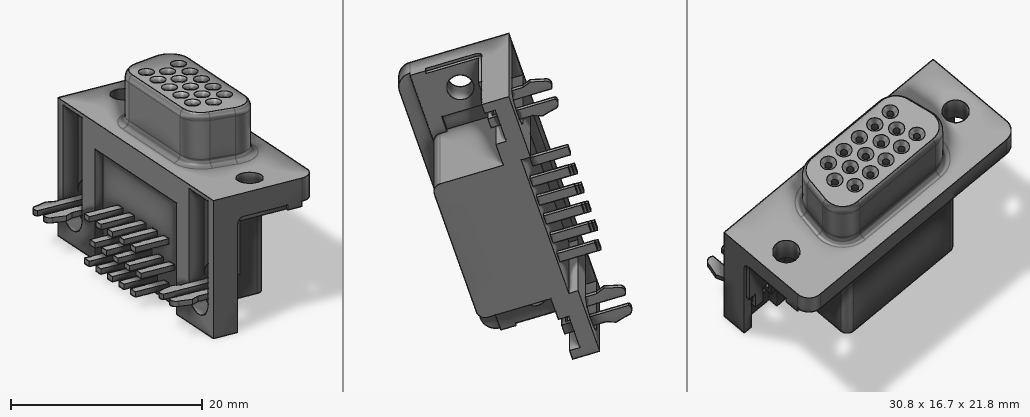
import cadquery as cq
import math


width = 30.8
wall_thickness = 3.0
flange_top = 15.83
flange_depth = 12.57
flange_underside = 13.15
flange_corner_radius = 1.7
head_depth = flange_depth - flange_corner_radius
head_underside = 12.57
core_half_width = 8.07
core_edge_radius = 0.95

overall_height = 21.8
shell_back = 10.25
shell_front = 2.3
shell_middle = (shell_back + shell_front) / 2
shell_mean_half_width = 7.92
shell_slant = math.radians(10)
shell_corner_radius = 2.55
shell_rim_start = 20.97
shell_rim_radius = 1.1
shell_base_radius = 0.77

contacts_per_row = 5
contact_pitch = 2.28
socket_row_pitch = 1.97
socket_outer_row_centre = -0.25
socket_middle_row_centre = 0.77
socket_mouth_diameter = 1.7
socket_bore_diameter = 0.75
socket_mouth_depth = 0.45
socket_bore_depth = 3.08

pin_width = 1.0
pin_height = 0.62
pin_reach = 3.15
pin_row_pitch = 2.55
pin_middle_row_height = 4.37
pin_outer_row_centre = -0.05
panel_depth = 1.02
panel_half_width = core_half_width
panel_top = 12.75

mount_offset = 12.47
screw_hole_diameter = 2.83
pocket_width = 3.75
pocket_top = 15.37
pocket_depth = 1.85
pocket_bottom = 1.7
window_top = 6.95
bracket_width = 5.25
bracket_back = 9.18
bracket_thickness = 0.45
bracket_bend_radius = 0.77
bracket_shoulder = 6.47
tab_width = 3.4
leg_gap = 1.23
leg_gap_top = 6.7
leg_thickness = 0.62
leg_bottom = pin_middle_row_height - leg_thickness / 2
leg_reach = 4.1
barb_half_width = 2.05
barb_start = 1.15
barb_peak = 2.05
tip_radius = 0.65


def box(x_range, y_range, z_range):
    """Box between the given limits along X, Y and Z."""
    lows, highs = zip(x_range, y_range, z_range)
    sizes = [high - low for low, high in zip(lows, highs)]
    return cq.Workplane("XY").box(*sizes, centered=False).translate(lows)


def centred_box(x_centre, x_width, y_range, z_range):
    """Box with its X extent given by a centre and a width."""
    return box((x_centre - x_width / 2, x_centre + x_width / 2), y_range, z_range)


def upright_slot(x, slot_width, bottom, top, y_range):
    """Round-ended slot standing along Z and running along Y."""
    return (
        cq.Workplane("XZ", origin=(x, y_range[1], (bottom + top) / 2))
        .slot2D(top - bottom, slot_width, 90)
        .extrude(y_range[1] - y_range[0])
    )


def make_housing():
    half_width = width / 2
    wall_and_head = (
        cq.Workplane("YZ", origin=(-half_width, 0, 0))
        .moveTo(0, 0)
        .lineTo(wall_thickness, 0)
        .lineTo(wall_thickness, flange_underside - bracket_bend_radius)
        .radiusArc((wall_thickness + bracket_bend_radius, flange_underside), bracket_bend_radius)
        .lineTo(bracket_back, flange_underside)
        .lineTo(bracket_back, head_underside)
        .lineTo(head_depth, head_underside)
        .lineTo(head_depth, flange_top)
        .lineTo(0, flange_top)
        .close()
        .extrude(width)
    )
    flange = (
        box((-half_width, half_width), (0, flange_depth), (flange_underside, flange_top))
        .edges("|Z and >Y")
        .fillet(flange_corner_radius)
    )
    core = (
        centred_box(0, 2 * core_half_width, (0, head_depth), (0, flange_top))
        .edges("|Z and >Y")
        .fillet(core_edge_radius)
    )
    panel_recess = centred_box(0, 2 * panel_half_width, (0, panel_depth), (0, panel_top))
    return wall_and_head.union(flange).union(core).cut(panel_recess)


def shell_outline(base):
    """D-shaped outline at the given height, wide side towards +Y, before its corners are rounded."""
    half_depth = (shell_back - shell_front) / 2
    lean = half_depth * math.tan(shell_slant)
    wide = shell_mean_half_width + lean
    narrow = shell_mean_half_width - lean
    corners = [(-wide, half_depth), (-narrow, -half_depth), (narrow, -half_depth), (wide, half_depth)]
    return cq.Workplane("XY", origin=(0, shell_middle, base)).polyline(corners).close()


def make_shell():
    rounded_top = shell_rim_start + shell_rim_radius
    shell = (
        shell_outline(flange_top)
        .extrude(rounded_top - flange_top)
        .edges("|Z")
        .fillet(shell_corner_radius)
        .faces(">Z")
        .edges()
        .fillet(shell_rim_radius)
    )
    return shell.intersect(centred_box(0, width, (0, flange_depth), (flange_top, overall_height)))


def row_positions(row_centre):
    first = row_centre - contact_pitch * (contacts_per_row - 1) / 2
    return [first + contact_pitch * i for i in range(contacts_per_row)]


def make_sockets():
    points = []
    for row in (-1, 0, 1):
        row_centre = socket_middle_row_centre if row == 0 else socket_outer_row_centre
        points += [(x, shell_middle + row * socket_row_pitch) for x in row_positions(row_centre)]
    mouth_radius = socket_mouth_diameter / 2
    bore_radius = socket_bore_diameter / 2
    socket = (
        cq.Workplane("XZ")
        .polyline([
            (0, 0),
            (mouth_radius, 0),
            (bore_radius, -socket_mouth_depth),
            (bore_radius, -socket_bore_depth),
            (0, -socket_bore_depth),
        ])
        .close()
        .revolve(360, (0, 0), (0, 1))
        .val()
    )
    return (
        cq.Workplane("XY", origin=(0, 0, overall_height))
        .pushPoints(points)
        .eachpoint(lambda place: socket.moved(place))
    )


def make_pins():
    pins = cq.Workplane("XY")
    pin_depths = (-pin_reach, panel_depth)
    for row in (-1, 0, 1):
        row_centre = pin_outer_row_centre + (contact_pitch / 2 if row == 0 else 0)
        bottom = pin_middle_row_height + row * pin_row_pitch - pin_height / 2
        pin_heights = (bottom, bottom + pin_height)
        for x in row_positions(row_centre):
            pins = pins.union(centred_box(x, pin_width, pin_depths, pin_heights))
    return pins


def make_mount_cuts(x):
    """Round-bottomed pocket in the board face, with an arched window behind it that is open at the bottom."""
    pocket_depths = (0, pocket_depth)
    pocket = upright_slot(x, pocket_width, pocket_bottom, pocket_top, pocket_depths)
    square_top = centred_box(x, pocket_width, pocket_depths, (window_top, pocket_top))
    window_depths = (pocket_depth, wall_thickness)
    arch = upright_slot(x, pocket_width, 0, window_top, window_depths)
    open_bottom = centred_box(x, pocket_width, window_depths, (0, pocket_width / 2))
    return pocket.union(square_top).union(arch).union(open_bottom)


def make_bracket(x):
    """L-shaped board-lock bracket seated under the head, with two barbed legs through the window."""
    plate_back = wall_thickness + bracket_thickness
    upper_leaf = centred_box(
        x, bracket_width, (wall_thickness, bracket_back), (head_underside, flange_underside)
    )
    rear_leaf = centred_box(
        x, bracket_width, (wall_thickness, plate_back), (bracket_shoulder, flange_underside)
    )
    tab = centred_box(x, tab_width, (wall_thickness, plate_back), (leg_bottom, bracket_shoulder))
    gap = upright_slot(x, leg_gap, 0, leg_gap_top, (wall_thickness, plate_back))
    bracket = upper_leaf.union(rear_leaf).union(tab).cut(gap)
    for side in (-1, 1):
        bracket = bracket.union(make_leg(x, side, plate_back))
    return bracket


def make_leg(x, side, back):
    """Barbed leg on one side of the gap, with a rounded tip that meets its outer edge smoothly."""
    inner = leg_gap / 2
    outer = tab_width / 2
    tip_across = outer - tip_radius
    tip_along = tip_radius - leg_reach
    inner_tip_end = tip_along - math.sqrt(tip_radius**2 - (tip_across - inner) ** 2)
    return (
        cq.Workplane("XY", origin=(x, 0, leg_bottom))
        .moveTo(side * inner, back)
        .lineTo(side * outer, back)
        .lineTo(side * outer, -barb_start)
        .lineTo(side * barb_half_width, -barb_peak)
        .lineTo(side * outer, tip_along)
        .threePointArc((side * tip_across, -leg_reach), (side * inner, inner_tip_end))
        .close()
        .extrude(leg_thickness)
    )


def make_screw_hole(x):
    return (
        cq.Workplane("XY", origin=(x, shell_middle, head_underside))
        .circle(screw_hole_diameter / 2)
        .extrude(flange_top - head_underside)
    )


result = make_housing().union(make_shell())
foot_margin = 0.15
foot_edges = cq.selectors.BoxSelector(
    (-mount_offset, foot_margin, flange_top - foot_margin),
    (mount_offset, flange_depth - foot_margin, flange_top + foot_margin),
)
result = result.edges(foot_edges).fillet(shell_base_radius)

result = result.cut(make_sockets()).union(make_pins())
for mount_x in (-mount_offset, mount_offset):
    result = result.cut(make_mount_cuts(mount_x)).union(make_bracket(mount_x)).cut(make_screw_hole(mount_x))